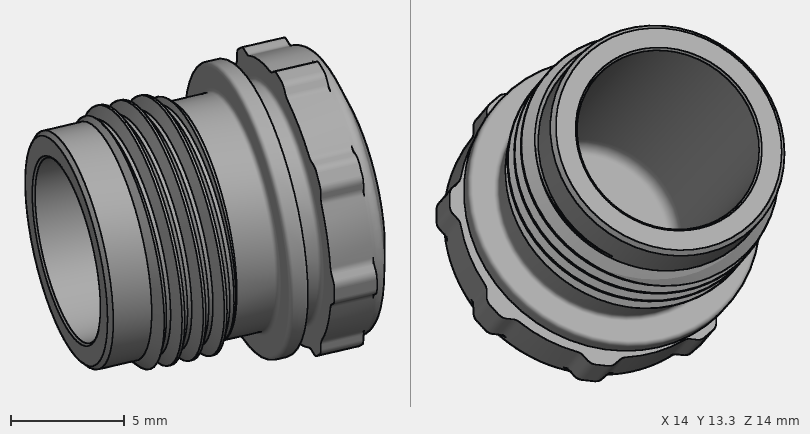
import cadquery as cq
import math


thread_start = 2.0
thread_end = 6.0
flange_start = 8.01
flange_end = 8.9
head_start = 10.0
knob_end = 12.0
dome_edge = 12.49
total_length = 13.3

shank_radius = 5.4
neck_radius = 5.5
flange_radius = 6.75
head_radius = 6.6
dome_top_radius = 4.55
bore_radius = 4.2

tip_chamfer = 0.2
lip_chamfer = 0.1
small_fillet = 0.2
shoulder_fillet = 0.5
dome_top_fillet = 1.5
bore_floor_fillet = 0.5

knob_count = 8
knob_reach = 7.0
knob_half_width = 0.49
knob_fillet = 0.5

slot_width = 1.4
slot_depth = 0.3

thread_pitch = 1.0
thread_crest_radius = 5.95
thread_crest_width = 0.13
thread_root_width = 0.8
thread_crest_position = 3.78
thread_overlap = 0.14

bore_floor = total_length - (shank_radius - bore_radius)


def revolve_about_y(points):
    return cq.Workplane("XY").polyline(points).close().revolve(360, (0, 0, 0), (0, 1, 0))


def cylinder(radius, start, end):
    """Cylinder on the Y axis between two axial positions."""
    return cq.Workplane("XZ", origin=(0, start, 0)).circle(radius).extrude(start - end)


def rings(body, *places):
    """Circular edges of the body at the given (radius, axial position) places."""
    def matches(edge):
        if edge.geomType() != "CIRCLE":
            return False
        return any(
            math.isclose(edge.radius(), radius, abs_tol=0.001)
            and math.isclose(edge.arcCenter().y, position, abs_tol=0.001)
            for radius, position in places
        )
    return body.newObject([edge for edge in body.edges().vals() if matches(edge)])


def make_turned_body():
    body = revolve_about_y([
        (0, 0),
        (shank_radius, 0),
        (shank_radius, flange_start),
        (flange_radius, flange_start),
        (flange_radius, flange_end),
        (neck_radius, flange_end),
        (neck_radius, head_start),
        (head_radius, head_start),
        (head_radius, dome_edge),
        (dome_top_radius, total_length),
        (0, total_length),
    ])
    body = rings(body, (shank_radius, 0)).chamfer(tip_chamfer)
    body = rings(
        body,
        (shank_radius, flange_start),
        (flange_radius, flange_start),
        (flange_radius, flange_end),
        (neck_radius, flange_end),
        (neck_radius, head_start),
    ).fillet(small_fillet)
    body = rings(body, (head_radius, dome_edge)).fillet(shoulder_fillet)
    return rings(body, (dome_top_radius, total_length)).fillet(dome_top_fillet)


def make_knob_ring():
    """Disc with flat-topped knobs whose flanks slope at 45 degrees."""
    foot_radius = head_radius / 2
    foot_half_width = knob_half_width + knob_reach - foot_radius
    knob = (
        cq.Workplane("XZ", origin=(0, head_start, 0))
        .polyline([
            (-foot_half_width, foot_radius),
            (-knob_half_width, knob_reach),
            (knob_half_width, knob_reach),
            (foot_half_width, foot_radius),
        ])
        .close()
        .extrude(head_start - knob_end)
    )
    ring = cylinder(head_radius, head_start, knob_end)
    for index in range(knob_count):
        ring = ring.union(knob.rotate((0, 0, 0), (0, 1, 0), index * 360 / knob_count))
    return ring.edges("|Y").fillet(knob_fillet)


def make_thread():
    """Right-handed ridge, trimmed by a blank with 45 degree ends."""
    turns_below = math.ceil((thread_crest_position - thread_start) / thread_pitch) + 1
    turns_above = math.ceil((thread_end - thread_crest_position) / thread_pitch) + 1
    helix_height = (turns_below + turns_above) * thread_pitch
    first_crest = thread_crest_position - turns_below * thread_pitch

    foot_radius = shank_radius - thread_overlap
    flank_run = (thread_root_width - thread_crest_width) / 2 / (thread_crest_radius - shank_radius)
    foot_half_width = thread_root_width / 2 + thread_overlap * flank_run
    crest_half_width = thread_crest_width / 2

    helix = cq.Wire.makeHelix(thread_pitch, helix_height, shank_radius)
    ridge = (
        cq.Workplane("XZ")
        .polyline([
            (foot_radius, -foot_half_width),
            (thread_crest_radius, -crest_half_width),
            (thread_crest_radius, crest_half_width),
            (foot_radius, foot_half_width),
        ])
        .close()
        .sweep(cq.Workplane(helix), isFrenet=True)
        .rotate((0, 0, 0), (1, 0, 0), -90)
        .rotate((0, 0, 0), (0, 1, 0), 180)
        .translate((0, first_crest, 0))
    )

    blank_depth = thread_crest_radius - shank_radius + thread_overlap
    blank_radius = shank_radius + blank_depth
    blank = revolve_about_y([
        (foot_radius - thread_overlap, thread_start),
        (shank_radius, thread_start),
        (blank_radius, thread_start + blank_depth),
        (blank_radius, thread_end - blank_depth),
        (shank_radius, thread_end),
        (foot_radius - thread_overlap, thread_end),
    ])
    return ridge.intersect(blank)


def make_bore():
    bore = cylinder(bore_radius, 0, bore_floor).faces(">Y").edges().fillet(bore_floor_fillet)
    lip = revolve_about_y([
        (0, 0),
        (bore_radius + lip_chamfer, 0),
        (bore_radius, lip_chamfer),
        (0, lip_chamfer),
    ])
    return bore.union(lip)


def make_slot():
    floor = total_length - slot_depth
    return (
        cq.Workplane("XY")
        .box(2 * head_radius, slot_depth, slot_width, centered=(True, False, True))
        .translate((0, floor, 0))
    )


result = (
    make_turned_body()
    .union(make_knob_ring())
    .union(make_thread())
    .cut(make_bore())
    .cut(make_slot())
)